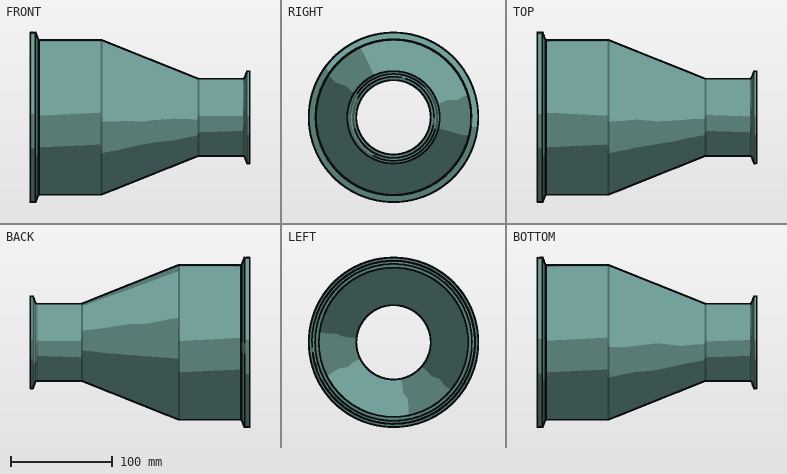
import cadquery as cq
import math

length = 215.9

large_outer_radius = 152.4 / 2
large_bore_radius = 146.86 / 2
large_flange_radius = 166.88 / 2
large_rim_thickness = 5.5
large_edge_radius = 0.5
large_neck_fillet = 1.0

small_outer_radius = 76.2 / 2
small_bore_radius = 72.9 / 2
small_flange_radius = 90.91 / 2
small_rim_thickness = 2.85
small_edge_radius = 0.5
small_neck_fillet = 1.5

flange_bevel = math.radians(20)

outer_cone_start = 69.85
outer_cone_end = 165.1
bore_cone_start = 28.575
bore_cone_end = 161.925
bore_bend_radius = 7.0
outer_bend_radius = 2.5

groove_width = 2.9
groove_depth = 1.2
groove_rim_radius = 0.5
large_groove_radius = 78.55
small_groove_radius = 41.3

selection_tolerance = 0.01


def solid_of_revolution(points):
    """Revolve a closed outline of (x, radius) points about the X axis."""
    return cq.Workplane("XY").polyline(points).close().revolve(360, (0, 0, 0), (1, 0, 0))


def bevel_run(flange_radius, tube_radius):
    """Length along X of the beveled flange back."""
    return (flange_radius - tube_radius) * math.tan(flange_bevel)


def ring_at(body, x, radius):
    """Pick the circular edge with the given station and radius."""
    reach = selection_tolerance
    picker = cq.selectors.BoxSelector(
        (x - reach, -radius - reach, -radius - reach),
        (x + reach, radius + reach, radius + reach),
        boundingbox=True,
    )
    rings = body.edges(picker).edges("%CIRCLE")
    return rings.filter(lambda edge: abs(edge.radius() - radius) < reach)


large_rim_back = large_rim_thickness
large_neck = large_rim_back + bevel_run(large_flange_radius, large_outer_radius)
small_rim_back = length - small_rim_thickness
small_neck = small_rim_back - bevel_run(small_flange_radius, small_outer_radius)


def outer_body():
    """Solid envelope of the reducer with both ferrule flanges."""
    body = solid_of_revolution([
        (0, 0),
        (0, large_flange_radius),
        (large_rim_back, large_flange_radius),
        (large_neck, large_outer_radius),
        (outer_cone_start, large_outer_radius),
        (outer_cone_end, small_outer_radius),
        (small_neck, small_outer_radius),
        (small_rim_back, small_flange_radius),
        (length, small_flange_radius),
        (length, 0),
    ])
    body = ring_at(body, large_neck, large_outer_radius).fillet(large_neck_fillet)
    body = ring_at(body, small_neck, small_outer_radius).fillet(small_neck_fillet)
    body = ring_at(body, outer_cone_start, large_outer_radius).fillet(outer_bend_radius)
    body = ring_at(body, outer_cone_end, small_outer_radius).fillet(outer_bend_radius)
    for x in (0, large_rim_back):
        body = ring_at(body, x, large_flange_radius).fillet(large_edge_radius)
    for x in (small_rim_back, length):
        body = ring_at(body, x, small_flange_radius).fillet(small_edge_radius)
    return body


def bore():
    """Core of the through passage, with a rounded bend into its cone."""
    body = solid_of_revolution([
        (0, 0),
        (0, large_bore_radius),
        (bore_cone_start, large_bore_radius),
        (bore_cone_end, small_bore_radius),
        (length, small_bore_radius),
        (length, 0),
    ])
    return ring_at(body, bore_cone_start, large_bore_radius).fillet(bore_bend_radius)


def cut_gasket_groove(body, face_x, inward, radius):
    """Sink a ring channel into the flange face at face_x; inward is +1 or -1 along X."""
    inner_rim = radius - groove_width / 2
    outer_rim = radius + groove_width / 2
    channel = (
        cq.Workplane("XY")
        .moveTo(face_x, inner_rim)
        .threePointArc((face_x + inward * groove_depth, radius), (face_x, outer_rim))
        .close()
        .revolve(360, (0, 0, 0), (1, 0, 0))
    )
    body = body.cut(channel)
    for rim in (inner_rim, outer_rim):
        body = ring_at(body, face_x, rim).fillet(groove_rim_radius)
    return body


result = outer_body().cut(bore())
result = cut_gasket_groove(result, 0, 1, large_groove_radius)
result = cut_gasket_groove(result, length, -1, small_groove_radius)